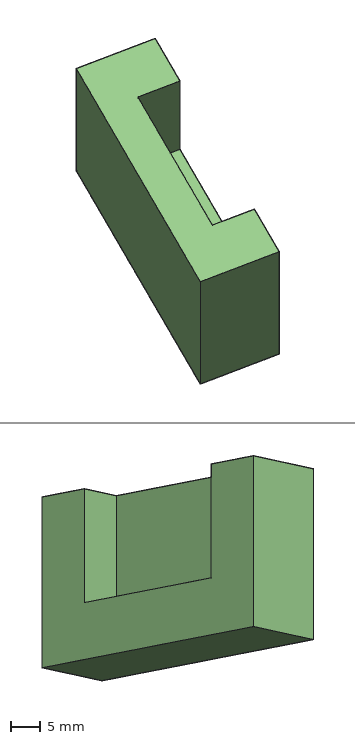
import cadquery as cq

length = 50
depth = 15
height = 30

wall = 10
pocket_depth = 8
pocket_length = length - 2 * wall
pocket_height = height - wall

block = cq.Workplane("XY").box(length, depth, height, centered=False)

pocket = (
    cq.Workplane("XY")
    .box(pocket_length, pocket_depth, pocket_height, centered=False)
    .translate((wall, depth - pocket_depth, wall))
)

result = block.cut(pocket)